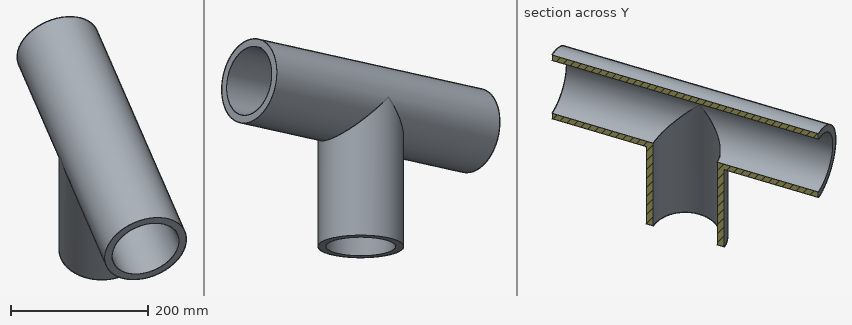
import cadquery as cq

run_length = 425.0
outer_diameter = 125.0
bore_diameter = 102.0
overall_height = 275.0

branch_length = overall_height - outer_diameter / 2


def run_cylinder(diameter):
    """Cylinder along X, centred on the origin, as long as the run."""
    return cq.Workplane("YZ").circle(diameter / 2).extrude(run_length / 2, both=True)


def branch_cylinder(diameter):
    """Cylinder from the run axis down to the open end of the branch."""
    return cq.Workplane("XY").circle(diameter / 2).extrude(-branch_length)


def tee(diameter):
    """Run and branch of equal diameter joined into one solid."""
    return run_cylinder(diameter).union(branch_cylinder(diameter))


result = tee(outer_diameter).cut(tee(bore_diameter))